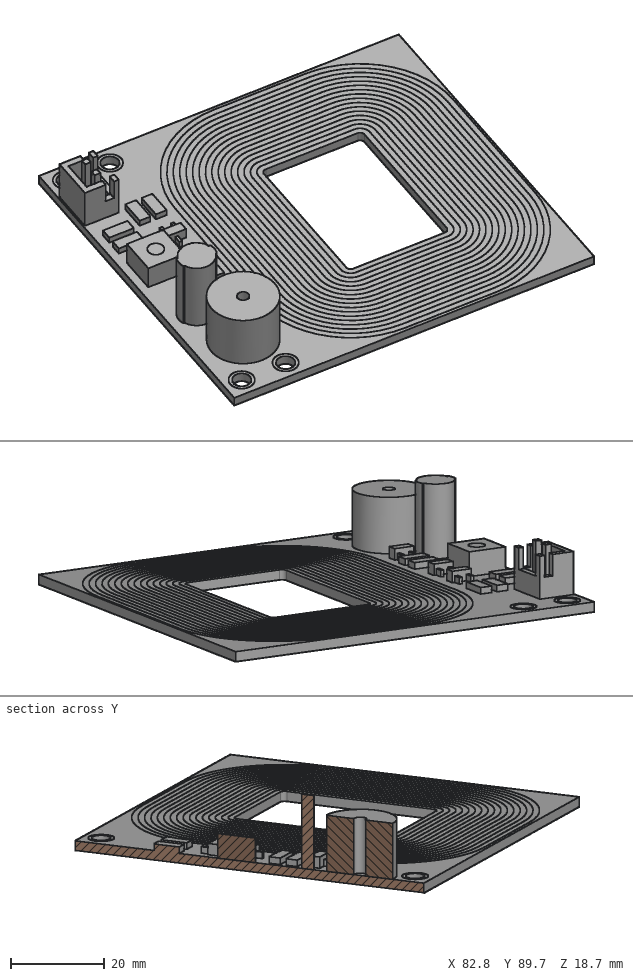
import cadquery as cq


BOARD_X = 82.8
BOARD_Y = 89.7
TOTAL_HEIGHT = 18.7
CAPACITOR_HEIGHT = 16.5
BOARD_TOP = TOTAL_HEIGHT - CAPACITOR_HEIGHT
COPPER_THICKNESS = 0.04

WINDOW_X = 37.0
WINDOW_Y = 25.0
WINDOW_RADIUS = 1.1
WINDOW_CENTER_Y = 9.7
COIL_X = 81.2
TURN_COUNT = 8
TRACK_WIDTH = (COIL_X - WINDOW_X) / (4 * TURN_COUNT)
TURN_PITCH = 2 * TRACK_WIDTH

HOLE_DIAMETER = 4.1
RING_DIAMETER = 5.65
HOLE_X = 37.2
HOLE_ROWS_Y = (-29.6, -40.5)

RESISTOR_LENGTH = 6.1
RESISTOR_WIDTH = 2.7
RESISTOR_HEIGHT = 1.4
RESISTOR_PAIR_PITCH = 4.0
FLAT_PAIR_CENTER = (-19.6, -30.9)
UPRIGHT_PAIR_CENTERS = ((-14.5, -39.6), (7.6, -30.1))

TRANSISTOR_X = 2.3
TRANSISTOR_Y = 4.75
TRANSISTOR_HEIGHT = 2.5
TRANSISTOR_COLUMNS_X = (-9.4, -1.7, 14.8)
TRANSISTOR_CENTER_Y = -30.0
LEAD_LENGTH = 1.9
LEAD_WIDTH = 0.7
LEAD_HEIGHT = 1.4
LEAD_OFFSET_Y = 1.4

HEADER_X = 10.8
HEADER_Y = 8.4
HEADER_HEIGHT = 9.5
HEADER_CENTER = (-27.9, -40.3)
CAVITY_X = 7.7
CAVITY_Y = 5.6
CAVITY_CENTER_Y = -40.35
HEADER_FLOOR = 1.4
SLOT_DEPTH = 4.75
SLOT_BACK_Y = -37.2
SLOT_FRONT_Y = -39.3
BACK_NOTCH_X = 7.0
PIN_SIZE = 1.4
PIN_CENTER_X = -27.6
PIN_PITCH = 4.0
PIN_HEIGHT = 11.0
PIN_CENTER_Y = -39.9

TRIMMER_SIZE = 9.1
TRIMMER_HEIGHT = 5.5
TRIMMER_CENTER = (-3.1, -38.2)
SCREW_DIAMETER = 3.7

CAPACITOR_DIAMETER = 8.25
RIDGE_DIAMETER = 8.9
RIDGE_WIDTH = 3.0
CAPACITOR_CENTER = (13.7, -37.9)

BUZZER_DIAMETER = 15.8
BUZZER_HEIGHT = 12.5
BUZZER_HOLE_DIAMETER = 2.7
BUZZER_CENTER = (26.1, -33.6)


def block(size_x, size_y, height, center, bottom=BOARD_TOP):
    """A box standing on the given level."""
    return (
        cq.Workplane("XY", origin=(*center, bottom))
        .rect(size_x, size_y)
        .extrude(height)
    )


def cylinder(diameter, height, center, bottom=BOARD_TOP):
    """A round post standing on the given level."""
    return (
        cq.Workplane("XY", origin=(*center, bottom))
        .circle(diameter / 2)
        .extrude(height)
    )


def window_loop(offset, height, bottom):
    """A rounded block that outgrows the board's window by the offset on all sides."""
    size_x = WINDOW_X + 2 * offset
    size_y = WINDOW_Y + 2 * offset
    loop = block(size_x, size_y, height, (0, WINDOW_CENTER_Y), bottom)
    return loop.edges("|Z").fillet(WINDOW_RADIUS + offset)


def coil_turn(index):
    """One closed copper turn, raised from the board."""
    inner_offset = TRACK_WIDTH + index * TURN_PITCH
    outer = window_loop(inner_offset + TRACK_WIDTH, COPPER_THICKNESS, BOARD_TOP)
    inner = window_loop(inner_offset, COPPER_THICKNESS, BOARD_TOP)
    return outer.cut(inner)


def transistor(center_x):
    """A transistor body with its three leads."""
    part = block(TRANSISTOR_X, TRANSISTOR_Y, TRANSISTOR_HEIGHT, (center_x, TRANSISTOR_CENTER_Y))
    reach = (TRANSISTOR_X + LEAD_LENGTH) / 2
    for side_x, offset_y in ((-reach, LEAD_OFFSET_Y), (-reach, -LEAD_OFFSET_Y), (reach, 0)):
        lead_center = (center_x + side_x, TRANSISTOR_CENTER_Y + offset_y)
        part = part.union(block(LEAD_LENGTH, LEAD_WIDTH, LEAD_HEIGHT, lead_center))
    return part


def make_board():
    """The board in one piece with its coil, hole rings, resistors and transistors."""
    board = block(BOARD_X, BOARD_Y, BOARD_TOP, (0, 0), bottom=0)
    board = board.cut(window_loop(0, BOARD_TOP, 0))

    for index in range(TURN_COUNT):
        board = board.union(coil_turn(index))

    for x in (-HOLE_X, HOLE_X):
        for y in HOLE_ROWS_Y:
            board = board.union(cylinder(RING_DIAMETER, COPPER_THICKNESS, (x, y)))
            board = board.cut(cylinder(HOLE_DIAMETER, BOARD_TOP + COPPER_THICKNESS, (x, y), bottom=0))

    for step in (-RESISTOR_PAIR_PITCH / 2, RESISTOR_PAIR_PITCH / 2):
        x, y = FLAT_PAIR_CENTER
        board = board.union(block(RESISTOR_LENGTH, RESISTOR_WIDTH, RESISTOR_HEIGHT, (x, y + step)))
        for x, y in UPRIGHT_PAIR_CENTERS:
            board = board.union(block(RESISTOR_WIDTH, RESISTOR_LENGTH, RESISTOR_HEIGHT, (x + step, y)))

    for x in TRANSISTOR_COLUMNS_X:
        board = board.union(transistor(x))
    return board


def make_pin(side):
    """One square header pin, standing on the board; side is -1 or 1."""
    center = (PIN_CENTER_X + side * PIN_PITCH / 2, PIN_CENTER_Y)
    return block(PIN_SIZE, PIN_SIZE, PIN_HEIGHT, center)


def make_header(pins):
    """The open-topped header shell, with side slots, a back notch and holes for its pins."""
    center_x, center_y = HEADER_CENTER
    shell = block(HEADER_X, HEADER_Y, HEADER_HEIGHT, HEADER_CENTER)

    cavity_bottom = BOARD_TOP + HEADER_FLOOR
    cavity_depth = HEADER_HEIGHT - HEADER_FLOOR
    shell = shell.cut(block(CAVITY_X, CAVITY_Y, cavity_depth, (center_x, CAVITY_CENTER_Y), cavity_bottom))

    slot_bottom = BOARD_TOP + HEADER_HEIGHT - SLOT_DEPTH
    slot_width = SLOT_BACK_Y - SLOT_FRONT_Y
    slot_center = (center_x, (SLOT_BACK_Y + SLOT_FRONT_Y) / 2)
    shell = shell.cut(block(HEADER_X, slot_width, SLOT_DEPTH, slot_center, slot_bottom))
    back_y = center_y + HEADER_Y / 2
    notch_center = (center_x, (back_y + SLOT_FRONT_Y) / 2)
    shell = shell.cut(block(BACK_NOTCH_X, back_y - SLOT_FRONT_Y, SLOT_DEPTH, notch_center, slot_bottom))

    for pin in pins:
        shell = shell.cut(pin)
    return shell


def make_screw():
    """The trimmer's round screw, flush with the trimmer's top."""
    return cylinder(SCREW_DIAMETER, TRIMMER_HEIGHT, TRIMMER_CENTER)


def make_trimmer(screw):
    """The square trimmer case around its screw."""
    return block(TRIMMER_SIZE, TRIMMER_SIZE, TRIMMER_HEIGHT, TRIMMER_CENTER).cut(screw)


def make_capacitor():
    """A round can with two opposite ridges along its full height."""
    can = cylinder(CAPACITOR_DIAMETER, CAPACITOR_HEIGHT, CAPACITOR_CENTER)
    ridge_strip = block(RIDGE_WIDTH, RIDGE_DIAMETER, CAPACITOR_HEIGHT, CAPACITOR_CENTER)
    ridges = cylinder(RIDGE_DIAMETER, CAPACITOR_HEIGHT, CAPACITOR_CENTER).intersect(ridge_strip)
    return can.union(ridges)


def make_buzzer():
    """A round buzzer with a sound hole on its axis."""
    case = cylinder(BUZZER_DIAMETER, BUZZER_HEIGHT, BUZZER_CENTER)
    return case.cut(cylinder(BUZZER_HOLE_DIAMETER, BUZZER_HEIGHT, BUZZER_CENTER))


board = make_board()
pins = [make_pin(side) for side in (-1, 1)]
header = make_header(pins)
screw = make_screw()
trimmer = make_trimmer(screw)
capacitor = make_capacitor()
buzzer = make_buzzer()

result = cq.Compound.makeCompound(
    [
        board.val(),
        header.val(),
        *[pin.val() for pin in pins],
        trimmer.val(),
        screw.val(),
        capacitor.val(),
        buzzer.val(),
    ]
)